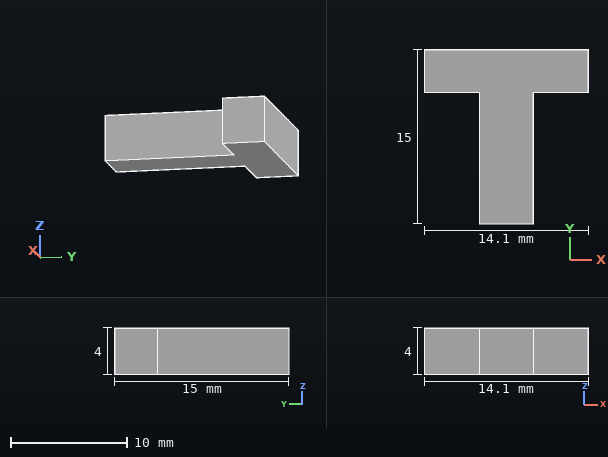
import cadquery as cq

bar_length = 14.09
total_depth = 15.0
thickness = 4.0

bar_width = 3.7
stem_width = 4.64

stem_length = total_depth - bar_width


def crossbar():
    """Bar across the +Y end of the part."""
    return (
        cq.Workplane("XY")
        .box(bar_length, bar_width, thickness, centered=(True, False, False))
        .translate((0, stem_length, 0))
    )


def stem():
    """Straight leg running from the origin to the middle of the crossbar."""
    return cq.Workplane("XY").box(stem_width, stem_length, thickness, centered=(True, False, False))


result = crossbar().union(stem())